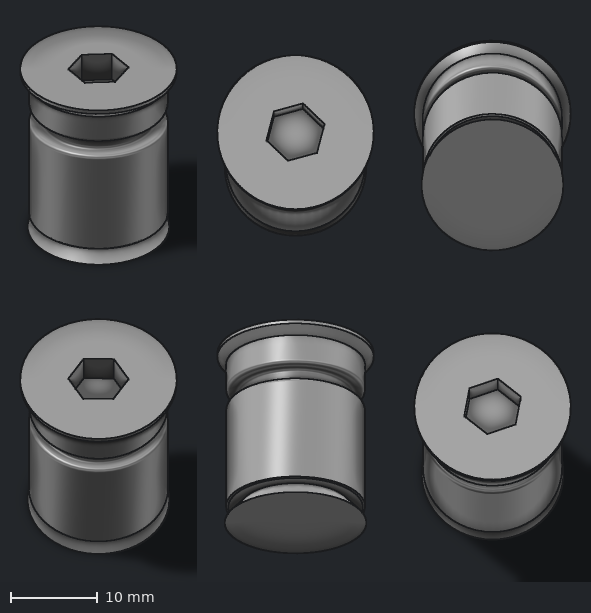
import cadquery as cq
import math

total_height = 21.6
flange_diameter = 18.0
body_diameter = 16.0

flange_rim_height = 0.5

groove_top = 16.54
groove_width = 1.8
neck_diameter = 13.21
edge_radius = 0.5

bevel_height = 0.09
bevel_width = 0.25

socket_across_flats = 6.0
socket_depth = 3.5

foot_height = 1.99
foot_bottom_diameter = 16.32
foot_top_diameter = 12.74

flange_radius = flange_diameter / 2
body_radius = body_diameter / 2
neck_radius = neck_diameter / 2
flange_rim_bottom = total_height - flange_rim_height
flange_cone_bottom = flange_rim_bottom - (flange_radius - body_radius)
groove_bottom = groove_top - groove_width
groove_shoulder_outer = body_radius - edge_radius
groove_shoulder_inner = neck_radius + edge_radius
arc_inset = edge_radius * (1 - math.sqrt(0.5))


def make_housing_blank():
    """Turned housing: beveled base, rounded groove and countersunk flange."""
    return (
        cq.Workplane("XZ")
        .moveTo(0, foot_height)
        .lineTo(body_radius - bevel_width, foot_height)
        .lineTo(body_radius, foot_height + bevel_height)
        .lineTo(body_radius, groove_bottom - edge_radius)
        .threePointArc(
            (body_radius - arc_inset, groove_bottom - arc_inset),
            (groove_shoulder_outer, groove_bottom),
        )
        .lineTo(groove_shoulder_inner, groove_bottom)
        .threePointArc(
            (neck_radius + arc_inset, groove_bottom + arc_inset),
            (neck_radius, groove_bottom + edge_radius),
        )
        .lineTo(neck_radius, groove_top - edge_radius)
        .threePointArc(
            (neck_radius + arc_inset, groove_top - arc_inset),
            (groove_shoulder_inner, groove_top),
        )
        .lineTo(groove_shoulder_outer, groove_top)
        .threePointArc(
            (body_radius - arc_inset, groove_top + arc_inset),
            (body_radius, groove_top + edge_radius),
        )
        .lineTo(body_radius, flange_cone_bottom)
        .lineTo(flange_radius, flange_rim_bottom)
        .lineTo(flange_radius, total_height)
        .lineTo(0, total_height)
        .close()
        .revolve(360, (0, 0), (0, 1))
    )


def make_socket():
    """Hexagonal prism, two corners on the X axis, that is cut from the top face."""
    across_corners = socket_across_flats / math.cos(math.pi / 6)
    return (
        cq.Workplane("XY")
        .workplane(offset=total_height - socket_depth)
        .polygon(6, across_corners)
        .extrude(socket_depth)
    )


def make_foot():
    """Cone that widens downward from the underside of the housing."""
    return (
        cq.Workplane("XZ")
        .lineTo(foot_bottom_diameter / 2, 0)
        .lineTo(foot_top_diameter / 2, foot_height)
        .lineTo(0, foot_height)
        .close()
        .revolve(360, (0, 0), (0, 1))
    )


housing = make_housing_blank().cut(make_socket())
foot = make_foot()

result = cq.Compound.makeCompound([housing.val(), foot.val()])